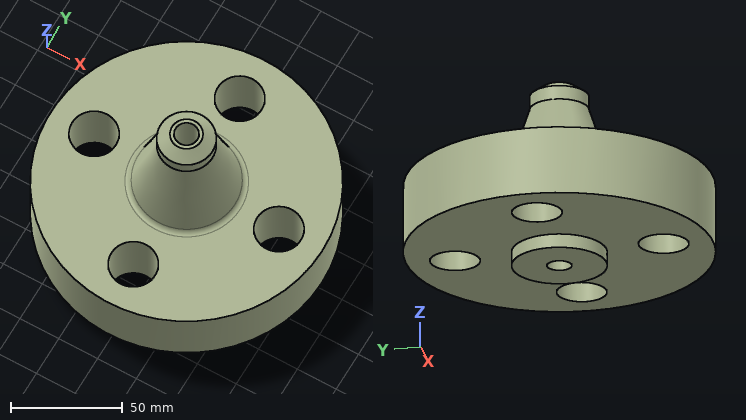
import cadquery as cq

flange_diameter = 139.7
flange_thickness = 31.7

face_diameter = 42.7
face_height = 6.4

neck_height = 47.5
hub_base_diameter = 51.0
neck_end_diameter = 26.7
tip_diameter = 14.8
bevel_height = 4.2
neck_end_length = 6.4
hub_fillet_radius = 3.0

bore_diameter = 11.2

bolt_count = 4
bolt_circle_diameter = 95.2
bolt_hole_diameter = 22.5

flange_top = flange_thickness
neck_top = flange_top + neck_height
bevel_base = neck_top - bevel_height
hub_top = bevel_base - neck_end_length


def make_body():
    """Solid of revolution about Z, from the raised face up to the weld bevel."""
    return (
        cq.Workplane("XZ")
        .moveTo(0, -face_height)
        .lineTo(face_diameter / 2, -face_height)
        .lineTo(face_diameter / 2, 0)
        .lineTo(flange_diameter / 2, 0)
        .lineTo(flange_diameter / 2, flange_top)
        .lineTo(hub_base_diameter / 2, flange_top)
        .lineTo(neck_end_diameter / 2, hub_top)
        .lineTo(neck_end_diameter / 2, bevel_base)
        .lineTo(tip_diameter / 2, neck_top)
        .lineTo(0, neck_top)
        .close()
        .revolve(360, (0, 0, 0), (0, 1, 0))
    )


def fillet_hub_base(body):
    """Round the inner corner where the hub meets the top of the disc."""
    margin = hub_fillet_radius / 2
    reach = hub_base_diameter / 2 + margin
    hub_base_zone = cq.selectors.BoxSelector(
        (-reach, -reach, flange_top - margin),
        (reach, reach, flange_top + margin),
        boundingbox=True,
    )
    return body.edges("%CIRCLE").edges(hub_base_zone).fillet(hub_fillet_radius)


def make_bore():
    """Through bore along the axis."""
    return (
        cq.Workplane("XY", origin=(0, 0, -face_height))
        .circle(bore_diameter / 2)
        .extrude(face_height + neck_top)
    )


def make_bolt_holes():
    """Through holes equally spaced on the bolt circle, the first on +X."""
    return (
        cq.Workplane("XY")
        .polarArray(bolt_circle_diameter / 2, 0, 360, bolt_count)
        .circle(bolt_hole_diameter / 2)
        .extrude(flange_thickness)
    )


result = fillet_hub_base(make_body()).cut(make_bore()).cut(make_bolt_holes())